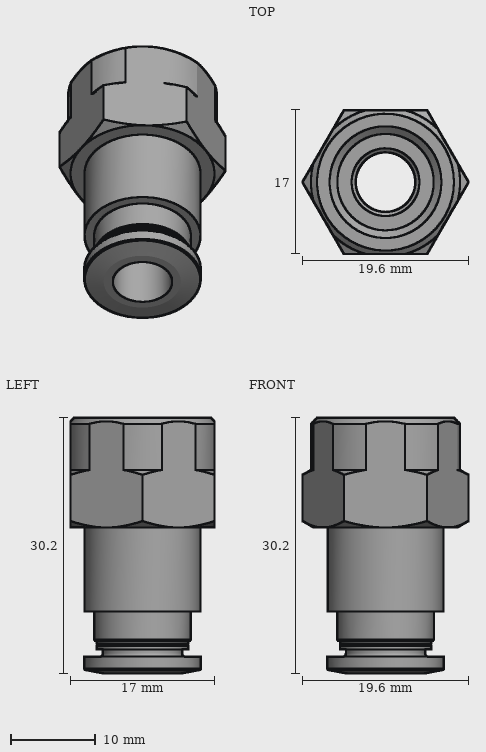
import cadquery as cq
import math

total_height = 30.2
across_flats = 17.0
corner_radius = across_flats / math.sqrt(3)
head_bottom = 17.25
turned_diameter = 17.6
turned_bottom = 24.05
top_chamfer = 0.72
hex_chamfer_angle = math.radians(30)

shank_diameter = 13.7
shank_bottom = 7.3
sleeve_diameter = 11.45
sleeve_bottom = 3.87
sleeve_chamfer_width = 0.12
sleeve_chamfer_height = 0.18

collar_diameter = 10.8
collar_bottom = 2.87
groove_diameter = 10.63
groove_top = 3.55
groove_bottom = 3.25
groove_taper_height = 0.12
neck_diameter = 9.4
neck_fillet = 0.4
flange_diameter = 13.8
flange_top = 2.0
flange_edge_height = 0.6
flange_chamfer_width = 0.1
cone_height = 0.42
cone_flat_diameter = 9.12

mouth_diameter = 13.2
socket_diameter = 11.4
socket_floor = head_bottom
countersink_diameter = 8.0
through_diameter = 7.0


def revolve_about_z(profile):
    """Turn a closed radius-height outline about the Z axis."""
    return profile.close().revolve(360, (0, 0, 0), (0, 1, 0))


def make_head():
    turned_radius = turned_diameter / 2
    flat_radius = across_flats / 2
    slope = math.tan(hex_chamfer_angle)
    shoulder_drop = (corner_radius - turned_radius) * slope
    lower_rise = (corner_radius - flat_radius) * slope
    hexagon = (
        cq.Workplane("XY")
        .workplane(offset=head_bottom)
        .polygon(6, 2 * corner_radius)
        .extrude(total_height - head_bottom)
    )
    envelope = revolve_about_z(
        cq.Workplane("XZ")
        .moveTo(0, head_bottom)
        .lineTo(flat_radius, head_bottom)
        .lineTo(corner_radius, head_bottom + lower_rise)
        .lineTo(corner_radius, turned_bottom - shoulder_drop)
        .lineTo(turned_radius, turned_bottom)
        .lineTo(turned_radius, total_height - top_chamfer)
        .lineTo(turned_radius - top_chamfer, total_height)
        .lineTo(0, total_height)
    )
    return hexagon.intersect(envelope)


def make_lower_body():
    sleeve_radius = sleeve_diameter / 2
    collar_radius = collar_diameter / 2
    groove_radius = groove_diameter / 2
    neck_radius = neck_diameter / 2
    flange_radius = flange_diameter / 2
    return revolve_about_z(
        cq.Workplane("XZ")
        .moveTo(0, 0)
        .lineTo(cone_flat_diameter / 2, 0)
        .lineTo(flange_radius - flange_chamfer_width, cone_height)
        .lineTo(flange_radius, flange_edge_height)
        .lineTo(flange_radius, flange_top)
        .lineTo(neck_radius + neck_fillet, flange_top)
        .radiusArc((neck_radius, flange_top + neck_fillet), neck_fillet)
        .lineTo(neck_radius, collar_bottom)
        .lineTo(collar_radius, collar_bottom)
        .lineTo(collar_radius, groove_bottom)
        .lineTo(groove_radius, groove_bottom + groove_taper_height)
        .lineTo(groove_radius, groove_top)
        .lineTo(collar_radius, groove_top)
        .lineTo(collar_radius, sleeve_bottom)
        .lineTo(sleeve_radius - sleeve_chamfer_width, sleeve_bottom)
        .lineTo(sleeve_radius, sleeve_bottom + sleeve_chamfer_height)
        .lineTo(sleeve_radius, shank_bottom)
        .lineTo(shank_diameter / 2, shank_bottom)
        .lineTo(shank_diameter / 2, head_bottom)
        .lineTo(0, head_bottom)
    )


def make_bore():
    mouth_radius = mouth_diameter / 2
    socket_radius = socket_diameter / 2
    countersink_radius = countersink_diameter / 2
    through_radius = through_diameter / 2
    mouth_depth = mouth_radius - socket_radius
    countersink_depth = countersink_radius - through_radius
    return revolve_about_z(
        cq.Workplane("XZ")
        .moveTo(0, 0)
        .lineTo(through_radius, 0)
        .lineTo(through_radius, socket_floor - countersink_depth)
        .lineTo(countersink_radius, socket_floor)
        .lineTo(socket_radius, socket_floor)
        .lineTo(socket_radius, total_height - mouth_depth)
        .lineTo(mouth_radius, total_height)
        .lineTo(0, total_height)
    )


result = make_head().union(make_lower_body()).cut(make_bore())